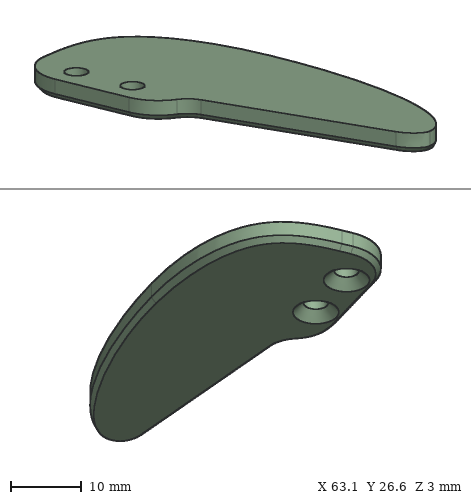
import cadquery as cq
import math

thickness = 3.0
bottom_chamfer_height = 0.8
bottom_chamfer_width = 0.75

heel_radius = 7.1
left_edge_top = 8.85
bottom_edge_end = 20.25
lower_edge_angle = math.radians(10.4)
lower_edge_length = 30.85

shoulder_radius = 6.95
shoulder_angle = math.radians(58.7)

notch_radius = 4.2

plate_length = 63.1
tip_y = 13.9
crest_x = 25.25
crest_y = 26.6

tip_reach_lower = 2.2
tip_reach_upper = 1.0
back_reach_tip = 6.7
back_reach_crest = 21.9
front_reach_crest = 14.1
front_reach_edge = 9.4
front_control = (2.6, 22.55)

hole_diameter = 3.5
countersink_depth = 1.5
hole_y = 4.35
hole_count = 2
first_hole_x = 7.65
hole_spacing = 10.0


def shoulder_point(angle):
    """Point on the shoulder arc where the outline has climbed to the given slope angle."""
    x = bottom_edge_end + shoulder_radius * math.sin(angle)
    y = shoulder_radius * (1 - math.cos(angle))
    return (x, y)


def notch_point(angle):
    """Point on the notch arc where the outline has the given slope angle."""
    start_x, start_y = shoulder_point(shoulder_angle)
    x = start_x + notch_radius * (math.sin(shoulder_angle) - math.sin(angle))
    y = start_y + notch_radius * (math.cos(angle) - math.cos(shoulder_angle))
    return (x, y)


def along_lower_edge(distance):
    """Point on the line of the lower edge, at a distance from the notch."""
    start_x, start_y = notch_point(lower_edge_angle)
    x = start_x + distance * math.cos(lower_edge_angle)
    y = start_y + distance * math.sin(lower_edge_angle)
    return (x, y)


def outline():
    heel_inset = heel_radius * (1 - math.sqrt(0.5))
    notch_middle_angle = (shoulder_angle + lower_edge_angle) / 2
    tip = (plate_length, tip_y)
    crest = (crest_x, crest_y)
    lower_edge_end = along_lower_edge(lower_edge_length)
    tip_lower_control = along_lower_edge(lower_edge_length + tip_reach_lower)
    return (
        cq.Workplane("XY")
        .moveTo(0, left_edge_top)
        .lineTo(0, heel_radius)
        .threePointArc((heel_inset, heel_inset), (heel_radius, 0))
        .lineTo(bottom_edge_end, 0)
        .threePointArc(shoulder_point(shoulder_angle / 2), shoulder_point(shoulder_angle))
        .threePointArc(notch_point(notch_middle_angle), notch_point(lower_edge_angle))
        .lineTo(*lower_edge_end)
        .bezier([lower_edge_end, tip_lower_control, (plate_length, tip_y - tip_reach_upper), tip])
        .bezier([
            tip,
            (plate_length, tip_y + back_reach_tip),
            (crest_x + back_reach_crest, crest_y),
            crest,
        ])
        .bezier([
            crest,
            (crest_x - front_reach_crest, crest_y),
            front_control,
            (0, left_edge_top + front_reach_edge),
            (0, left_edge_top),
        ])
        .close()
    )


hole_centers = [(first_hole_x + i * hole_spacing, hole_y) for i in range(hole_count)]
holes = (
    cq.Workplane("XY")
    .pushPoints(hole_centers)
    .circle(hole_diameter / 2)
    .extrude(thickness)
)
rim_chamfered = (
    outline()
    .extrude(thickness)
    .faces("<Z")
    .edges()
    .chamfer(bottom_chamfer_height, bottom_chamfer_width)
)

result = (
    rim_chamfered.cut(holes)
    .faces("<Z")
    .edges("%CIRCLE")
    .edges(cq.selectors.RadiusNthSelector(0))
    .chamfer(countersink_depth)
)